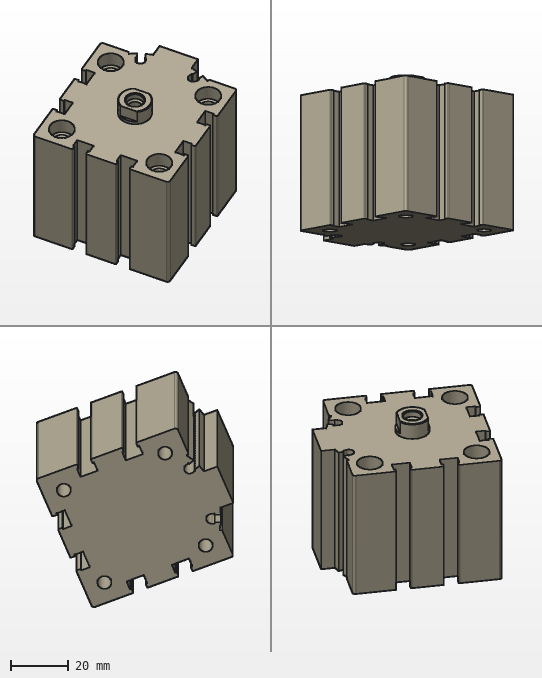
import cadquery as cq
import math

side = 53.0
height = 48.0
corner_round = 0.95
rail_width = 15.0
rail_top = 34.0
rail_root = 29.05

slot_pitch = 17.0
slot_mouth = 5.2
slot_width = 6.4
slot_depth = 4.95
slot_lip = 1.7
lip_round = 0.3

groove_x = 10.3
groove_y = 24.7
groove_width = 3.7
groove_neck = 2.9
groove_tilt = 20.0
mouth_height = 3.25
lip_height = 1.1
notch_outer = (15.8, side / 2)
notch_bottom = (15.3, 25.7)

mount_spacing = 38.0
mount_bore = 9.0
mount_bore_depth = 5.7
mount_sink = 6.3
mount_hole = 4.9

rod_diameter = 12.0
rod_top = 54.0
rod_socket_depth = 24.2
rod_chamfer = 0.25
flat_width = 10.0
flat_height = 4.8
centre_mouth = 7.15
centre_bore = 6.4
centre_depth = 2.5
thread_hole = 4.9
thread_depth = 12.1
drill_angle = 118.0

half_side = side / 2


def groove_point(across, along):
    """Point of the +X groove: across points toward +X, along points out of the mouth."""
    tilt = math.radians(groove_tilt)
    return (
        groove_x + across * math.cos(tilt) + along * math.sin(tilt),
        groove_y - across * math.sin(tilt) + along * math.cos(tilt),
    )


def half_outline():
    """Right half of the profile, from the -Y side up to the rail, without the slots."""
    half_groove = groove_width / 2
    half_neck = groove_neck / 2
    arc_start = half_side - corner_round
    arc_middle = arc_start + corner_round * math.sqrt(0.5)
    return (
        cq.Workplane("XY")
        .moveTo(0, -half_side)
        .lineTo(arc_start, -half_side)
        .threePointArc((arc_middle, -arc_middle), (half_side, -arc_start))
        .lineTo(half_side, arc_start)
        .threePointArc((arc_middle, arc_middle), (arc_start, half_side))
        .lineTo(*notch_outer)
        .lineTo(*notch_bottom)
        .lineTo(*groove_point(half_neck, mouth_height))
        .lineTo(*groove_point(half_neck, lip_height))
        .lineTo(*groove_point(half_groove, lip_height))
        .lineTo(*groove_point(half_groove, 0))
        .threePointArc(groove_point(0, -half_groove), groove_point(-half_groove, 0))
        .lineTo(*groove_point(-half_groove, lip_height))
        .lineTo(*groove_point(-half_neck, lip_height))
        .lineTo(*groove_point(-half_neck, mouth_height))
        .lineTo(rail_width / 2, rail_root)
        .lineTo(rail_width / 2, rail_top)
        .lineTo(0, rail_top)
        .close()
    )


def mounting_slot():
    """Slot cutter for the -Y side, centred on X = 0, flaring at the rounded mouth edges."""
    half_mouth = slot_mouth / 2
    half_width = slot_width / 2
    lip_y = -half_side + slot_lip
    floor_y = -half_side + slot_depth
    round_y = -half_side + lip_round
    flare = half_mouth + lip_round
    arc_inset = lip_round * math.sqrt(0.5)
    arc_middle = (flare - arc_inset, round_y - arc_inset)
    return (
        cq.Workplane("XY")
        .moveTo(-flare, -half_side)
        .threePointArc((-arc_middle[0], arc_middle[1]), (-half_mouth, round_y))
        .lineTo(-half_mouth, lip_y)
        .lineTo(-half_width, lip_y)
        .lineTo(-half_width, floor_y)
        .lineTo(half_width, floor_y)
        .lineTo(half_width, lip_y)
        .lineTo(half_mouth, lip_y)
        .lineTo(half_mouth, round_y)
        .threePointArc(arc_middle, (flare, -half_side))
        .close()
        .extrude(height)
    )


def mounting_hole(x, y):
    """Counterbored, countersunk through hole, as a revolved cutter."""
    floor_z = height - mount_bore_depth
    sink_depth = (mount_sink - mount_hole) / 2
    profile = [
        (0, 0),
        (mount_hole / 2, 0),
        (mount_hole / 2, floor_z - sink_depth),
        (mount_sink / 2, floor_z),
        (mount_bore / 2, floor_z),
        (mount_bore / 2, height),
        (0, height),
    ]
    cutter = cq.Workplane("XZ").polyline(profile).close().revolve(360, (0, 0), (0, 1))
    return cutter.translate((x, y, 0))


def rod_blank():
    """Plain cylinder of the rod, also the shape of its socket."""
    bottom = height - rod_socket_depth
    return cq.Workplane("XY").workplane(offset=bottom).circle(rod_diameter / 2).extrude(rod_top - bottom)


def make_housing():
    right_half = half_outline().extrude(height)
    housing = right_half.union(right_half.mirror("YZ"), clean=True)
    for turn in (-90, 0, 90):
        for offset in (-slot_pitch / 2, slot_pitch / 2):
            slot = mounting_slot().translate((offset, 0, 0))
            housing = housing.cut(slot.rotate((0, 0, 0), (0, 0, 1), turn))
    for x in (-mount_spacing / 2, mount_spacing / 2):
        for y in (-mount_spacing / 2, mount_spacing / 2):
            housing = housing.cut(mounting_hole(x, y))
    return housing.cut(rod_blank())


def wrench_flats():
    """Ring-shaped cutter that leaves two flats facing -Y and +Y."""
    stock = cq.Workplane("XY").workplane(offset=rod_top - flat_height)
    outside = stock.rect(2 * rod_diameter, 2 * rod_diameter).extrude(flat_height)
    return outside.cut(stock.rect(2 * rod_diameter, flat_width).extrude(flat_height))


def rod_thread_hole():
    """Stepped centre hole with a countersunk mouth and a drill-point bottom."""
    mouth_depth = (centre_mouth - centre_bore) / 2
    step_depth = (centre_bore - thread_hole) / 2
    tip_depth = thread_hole / 2 / math.tan(math.radians(drill_angle / 2))
    profile = [
        (0, rod_top),
        (centre_mouth / 2, rod_top),
        (centre_bore / 2, rod_top - mouth_depth),
        (centre_bore / 2, rod_top - centre_depth),
        (thread_hole / 2, rod_top - centre_depth - step_depth),
        (thread_hole / 2, rod_top - thread_depth),
        (0, rod_top - thread_depth - tip_depth),
    ]
    return cq.Workplane("XZ").polyline(profile).close().revolve(360, (0, 0), (0, 1))


def make_rod():
    rod = rod_blank().faces(">Z").chamfer(rod_chamfer)
    return rod.cut(wrench_flats()).cut(rod_thread_hole())


housing = make_housing()
rod = make_rod()
result = cq.Compound.makeCompound([housing.val(), rod.val()])